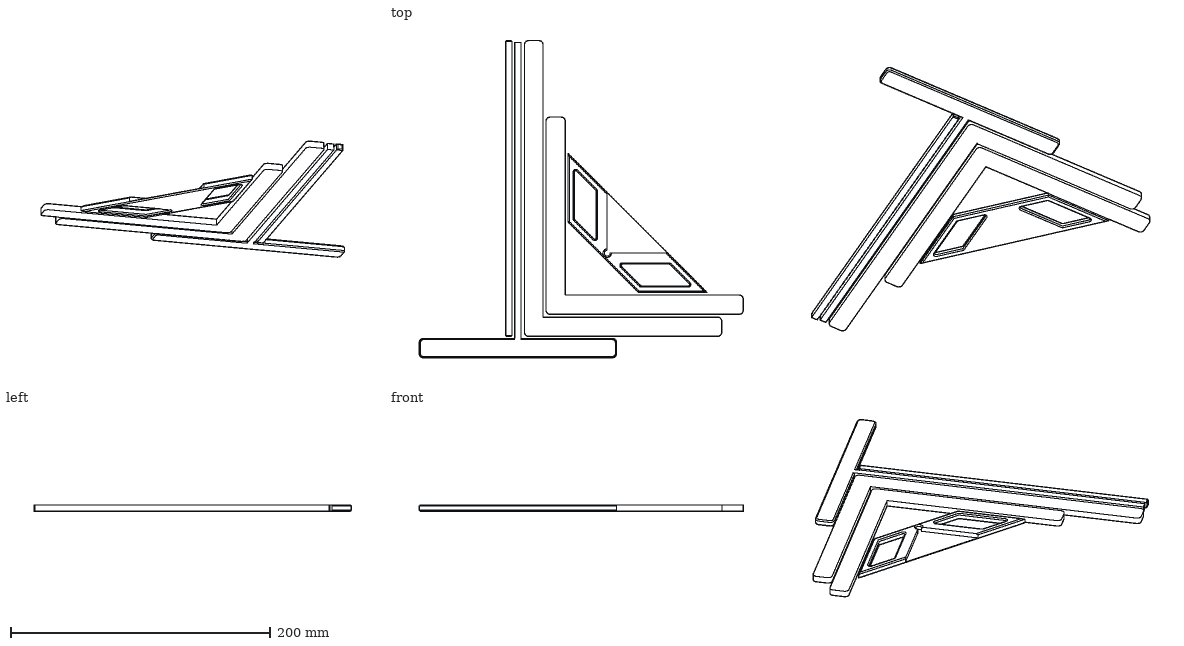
import cadquery as cq
import math

thickness = 5.0
edge_chamfer = 1.0
corner_radius = 3.3
blade_width = 15.0
blade_length = 152.3
long_length = 228.5
bar_width = 5.0
right_end = 125.0

t_left = -125.0
t_bottom = -122.45
t_center_x = t_left + blade_length / 2
t_top = t_bottom + blade_width

bar_gap = 2.0
bar_end_chamfer = 0.8
bar_left = t_center_x - bar_width / 2 - bar_gap - bar_width
long_bottom = t_top + 1.5

large_gap = 2.5
large_left = t_center_x + bar_width / 2 + large_gap
large_arm_width = 14.5

small_gap = 2.0
small_left = right_end - blade_length
small_bottom = long_bottom + blade_width + small_gap

brace_gap = 2.0
brace_corner_x = small_left + blade_width + brace_gap
brace_corner_y = small_bottom + blade_width + brace_gap
brace_leg = 107.3
brace_cutoff = 54.3
frame_width = 5.0
window_inner_side = 21.8
window_radius = 1.0
pocket_wall = 30.3
pocket_floor = 1.3
relief_radius = 2.3


def chamfer_rims(body):
    return body.faces("<Z or >Z").chamfer(edge_chamfer)


def rounded_plate(length, width):
    return (
        cq.Workplane("XY")
        .box(length, width, thickness, centered=False)
        .edges("|Z").fillet(corner_radius)
    )


def make_t_square():
    blade = chamfer_rims(rounded_plate(blade_length, blade_width))
    stem_start = blade_width / 2
    stem = (
        cq.Workplane("XY", origin=(blade_length / 2, stem_start, 0))
        .box(bar_width, long_length + blade_width - stem_start, thickness, centered=(True, False, False))
    )
    return blade.union(stem).translate((t_left, t_bottom, 0))


def make_loose_bar():
    return (
        cq.Workplane("XY")
        .box(bar_width, long_length, thickness, centered=False)
        .faces("<Y or >Y").chamfer(bar_end_chamfer)
        .translate((bar_left, long_bottom, 0))
    )


def make_l_square(left, bottom, arm_width, arm_length):
    foot = rounded_plate(blade_length, blade_width)
    arm = rounded_plate(arm_width, arm_length)
    return foot.union(arm).translate((left, bottom, 0))


def make_window():
    diagonal_inset = frame_width * math.sqrt(2)
    low = brace_cutoff + diagonal_inset
    high = brace_leg - diagonal_inset
    return (
        cq.Workplane("XY")
        .polyline([
            (frame_width, low - frame_width),
            (window_inner_side, low - window_inner_side),
            (window_inner_side, high - window_inner_side),
            (frame_width, high - frame_width),
        ])
        .close()
        .extrude(thickness)
        .edges("|Z").fillet(window_radius)
    )


def swap_legs(body):
    return body.mirror("XZ").rotate((0, 0, 0), (0, 0, 1), 90)


def make_pocket():
    depth = thickness - pocket_floor
    corner = cq.Workplane("XY", origin=(pocket_wall, pocket_wall, pocket_floor))
    recess = corner.box(brace_leg, brace_leg, depth, centered=False)
    relief = corner.circle(relief_radius).extrude(depth)
    relief_chamfer = cq.Workplane(
        cq.Solid.makeCone(
            relief_radius,
            relief_radius + edge_chamfer,
            edge_chamfer,
            pnt=cq.Vector(pocket_wall, pocket_wall, thickness - edge_chamfer),
        )
    )
    return recess, relief, relief_chamfer


def make_brace():
    brace = (
        cq.Workplane("XY")
        .polyline([(0, brace_cutoff), (brace_cutoff, 0), (brace_leg, 0), (0, brace_leg)])
        .close()
        .extrude(thickness)
    )
    window = make_window()
    for cutter in (window, swap_legs(window)):
        brace = brace.cut(cutter)
    brace = chamfer_rims(brace)
    for cutter in make_pocket():
        brace = brace.cut(cutter)
    return brace.translate((brace_corner_x, brace_corner_y, 0))


t_square = make_t_square()
loose_bar = make_loose_bar()
large_square = make_l_square(large_left, long_bottom, large_arm_width, long_length)
small_square = make_l_square(small_left, small_bottom, blade_width, blade_length)
brace = make_brace()

result = cq.Compound.makeCompound([
    t_square.val(),
    loose_bar.val(),
    large_square.val(),
    small_square.val(),
    brace.val(),
])